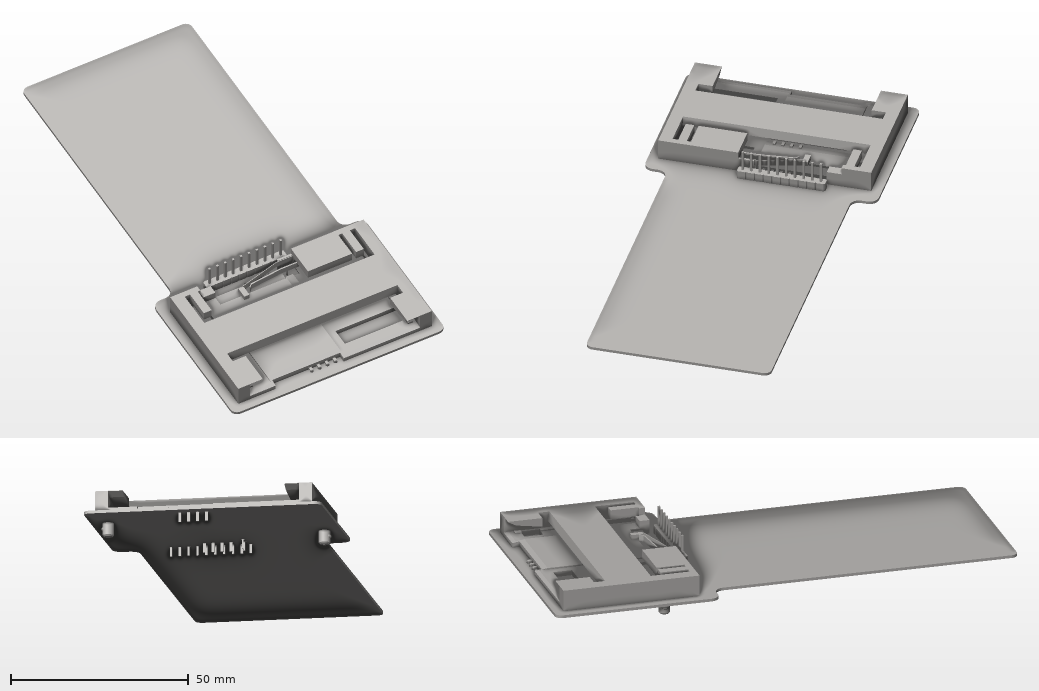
import cadquery as cq


board_length = 137.8
board_width = 68.0
board_thickness = 0.8
tail_width = 53.7
shoulder_x = 89.6
shoulder_radius = 2.8
end_radius = 2.0

pin_count = 10
pin_row_length = 25.4
header_x = 92.5
header_y = -5.6
header_height = 2.5
pin_size = 0.63
pin_top = 8.4
pin_tail = 3.5
pin_hole_diameter = 1.0
pitch = pin_row_length / pin_count
header_chamfer = 0.4
header_unit_length = 2.9

socket_back = 95.0
socket_front = 134.9
socket_width = 62.0
socket_height = 6.2
bay_back = 97.8
bay_width = 54.5
bay_floor = 1.5
bay_ceiling = 3.6

back_gap_x = 104.9
front_gap_x = 124.8
bridge_back = 107.6
bridge_front = 122.1
bridge_draft = 0.5
mouth_width = 46.3
mouth_knee_x = 132.5
mouth_knee_z = 4.8
mouth_lip = 0.1

recess_low_y = -22.3
recess_high_y = 7.7
recess_floor = 4.1

split_y = 3.2
back_window_end_y = -18.0
back_window_x = 97.0
back_step_x = 100.7
back_step_height = 1.2
front_window_x = 132.8
front_window_low_y = -19.0
front_window_high_y = 2.8

raised_height = 1.9
ramp_length = 2.5
back_ramp_x = 106.7
front_ramp_x = 131.2
front_raised_start = 110.2
front_raised_end_y = -19.7
ledge_y = 24.8
ledge_outer_y = 26.5
ledge_end_x = 132.3

back_pocket_end = 105.1
back_pocket_floor = 0.7
front_window_end = 130.4
floor_opening_y = 5.6

slit_start_x = 96.7
outer_slit_inner_y = 25.6
inner_slit_low_y = 21.9
inner_slit_high_y = 23.2

lead_count = 4
lead_width = 0.8
lead_thickness = 0.4
lead_height = 0.7
lead_bend = 0.35
back_lead_x = 95.5
front_lead_x = 134.1
lead_hole_diameter = 1.1
leads_center_y = header_y + pitch
contact_start = 107.3
contact_length = 1.7
contact_height = 2.2

switch_slot_back = 95.6
switch_slot_front = 99.9
switch_slot_floor = 0.3
switch_root_y = 8.3
blade_low = 2.2
blade_high = 4.0
fixed_blade_thickness = 0.2
moving_blade_thickness = 0.4
fixed_blade_x = 95.8
moving_blade_x = 98.5
blade_bend_y = 2.5
fixed_blade_tip = [(99.2, -9.9)]
moving_blade_tip = [(99.6, -7.6), (100.6, -8.5)]
switch_lead_y = 4.5
tab_back = 99.1
tab_front = 102.7
tab_low_y = -11.5
tab_high_y = -9.8

peg_diameter = 3.3
peg_depth = 4.7
peg_chamfer = 0.4
peg_offset_y = 29.1
bump_radius = 1.2
bump_offset = 0.7
bump_chamfer = 0.4
bump_top = -1.8
bump_height = 1.4
slit_peg_x = 104.7
plain_peg_x = 124.7
peg_slit_width = 0.2
peg_places = [(slit_peg_x, 1), (plain_peg_x, -1)]


def block(x0, x1, y0, y1, z0, z1):
    """Axis-aligned box between two opposite corners."""
    return cq.Workplane("XY").box(x1 - x0, y1 - y0, z1 - z0, centered=False).translate((x0, y0, z0))


def prism_along_y(points, y0, y1):
    """XZ outline extruded from y0 to y1."""
    return cq.Workplane("XZ", origin=(0, y1, 0)).polyline(points).close().extrude(y1 - y0)


pin_ys = [header_y + (i - (pin_count - 1) / 2) * pitch for i in range(pin_count)]
lead_ys = [leads_center_y + (i - (lead_count - 1) / 2) * pitch for i in range(lead_count)]
back_lead_center = back_lead_x + lead_thickness / 2
front_lead_center = front_lead_x - lead_thickness / 2


def make_board():
    tail = block(0, shoulder_x, -tail_width / 2, tail_width / 2, -board_thickness, 0)
    head = block(shoulder_x, board_length, -board_width / 2, board_width / 2, -board_thickness, 0)
    board = tail.union(head)
    for x, radius in [(0, end_radius), (shoulder_x, shoulder_radius), (board_length, end_radius)]:
        corners = cq.selectors.BoxSelector((x - 1.4, -board_width, -1.4), (x + 1.4, board_width, 1.4))
        board = board.edges("|Z").edges(corners).fillet(radius)

    pin_places = [(header_x, y) for y in pin_ys]
    lead_places = [(x, y) for x in (back_lead_center, front_lead_center) for y in lead_ys]
    switch_places = [(x, switch_lead_y) for x in (fixed_blade_x, moving_blade_x)]
    peg_centers = [(x, side * peg_offset_y) for x, side in peg_places]
    for places, diameter in [
        (pin_places, pin_hole_diameter),
        (lead_places + switch_places, lead_hole_diameter),
        (peg_centers, peg_diameter),
    ]:
        holes = cq.Workplane("XY").pushPoints(places).circle(diameter / 2).extrude(-board_thickness)
        board = board.cut(holes)
    return board


def make_header():
    """Row of eight-sided units that run into one another, each with a pin."""
    unit = (
        cq.Workplane("XY")
        .rect(pitch, header_unit_length)
        .extrude(header_height)
        .edges("|Z")
        .chamfer(header_chamfer)
    )
    pin = cq.Workplane("XY", origin=(0, 0, -pin_tail)).rect(pin_size, pin_size).extrude(pin_top + pin_tail)
    unit = unit.union(pin)
    header = unit.translate((header_x, pin_ys[0], 0))
    for y in pin_ys[1:]:
        header = header.union(unit.translate((header_x, y, 0)))
    return header


def cut_card_bay(body):
    half = bay_width / 2
    body = body.cut(block(bay_back, socket_front, -half, half, bay_floor, bay_ceiling))
    flare = [
        (front_gap_x, bay_ceiling),
        (mouth_knee_x, mouth_knee_z),
        (socket_front, socket_height - mouth_lip),
        (socket_front, bay_ceiling),
    ]
    body = body.cut(prism_along_y(flare, -half, half))
    sill_x = front_ramp_x + ramp_length
    ramp_slope = (raised_height - bay_floor) / ramp_length
    sill_drop = (socket_front - sill_x) * ramp_slope
    sill = [(sill_x, bay_floor), (socket_front, bay_floor), (socket_front, bay_floor - sill_drop)]
    return body.cut(prism_along_y(sill, -half, half))


def cut_roof(body):
    half = bay_width / 2
    back_gap = [
        (back_gap_x, bay_ceiling),
        (bridge_back, bay_ceiling),
        (bridge_back + bridge_draft, socket_height),
        (back_gap_x, socket_height),
    ]
    front_gap = [
        (front_gap_x, bay_ceiling),
        (bridge_front, bay_ceiling),
        (bridge_front - bridge_draft, socket_height),
        (front_gap_x, socket_height),
    ]
    body = body.cut(prism_along_y(back_gap, -half, half)).cut(prism_along_y(front_gap, -half, half))
    mouth_half = mouth_width / 2
    body = body.cut(block(front_gap_x, socket_front, -mouth_half, mouth_half, bay_floor, socket_height))
    body = body.cut(block(socket_back, back_gap_x, recess_low_y, recess_high_y, recess_floor, socket_height))
    body = body.cut(block(bay_back, back_gap_x, recess_low_y, recess_high_y, bay_floor, recess_floor))
    for low, high in [
        (outer_slit_inner_y, half),
        (inner_slit_low_y, inner_slit_high_y),
        (-inner_slit_high_y, -inner_slit_low_y),
        (-half, -outer_slit_inner_y),
    ]:
        body = body.cut(block(slit_start_x, back_gap_x, low, high, bay_floor, socket_height))
    return body


def add_card_floor(body):
    half = bay_width / 2
    back_raised = [
        (bay_back, bay_floor),
        (bay_back, raised_height),
        (back_ramp_x, raised_height),
        (back_ramp_x + ramp_length, bay_floor),
    ]
    front_raised = [
        (front_raised_start, bay_floor),
        (front_raised_start, raised_height),
        (front_ramp_x, raised_height),
        (front_ramp_x + ramp_length, bay_floor),
    ]
    body = body.union(prism_along_y(back_raised, -half, split_y))
    body = body.union(prism_along_y(back_raised, ledge_y, half))
    body = body.union(prism_along_y(front_raised, front_raised_end_y, split_y))
    for low, high in [(ledge_y, ledge_outer_y), (-ledge_outer_y, -ledge_y)]:
        body = body.union(block(front_raised_start, ledge_end_x, low, high, bay_floor, raised_height))
    return body


def cut_floor_openings(body):
    for x0, x1, floor in [
        (slit_start_x, back_pocket_end, back_pocket_floor),
        (front_gap_x, front_window_end, 0),
    ]:
        for low, high in [(floor_opening_y, ledge_outer_y), (-ledge_outer_y, recess_low_y)]:
            body = body.cut(block(x0, x1, low, high, floor, bay_ceiling))
    return body


def cut_wall_windows(body):
    low = back_window_end_y
    body = body.cut(block(socket_back, back_window_x, low, split_y, 0, recess_floor))
    body = body.cut(block(back_window_x, back_step_x, low, split_y, back_step_height, recess_floor))
    body = body.cut(
        block(front_window_x, socket_front, front_window_low_y, front_window_high_y, 0, bay_ceiling)
    )
    return body.cut(
        block(
            switch_slot_back,
            switch_slot_front,
            split_y,
            recess_high_y,
            switch_slot_floor,
            recess_floor,
        )
    )


def add_leads(body):
    for y in lead_ys:
        low = y - lead_width / 2
        high = y + lead_width / 2
        for outer_x, wall_x, inward, bend in [
            (back_lead_x, back_window_x, 1, "<X and >Z"),
            (front_lead_x, front_window_x, -1, ">X and >Z"),
        ]:
            inner_x = outer_x + inward * lead_thickness
            under = lead_height - lead_thickness
            outline = [
                (outer_x, -pin_tail),
                (outer_x, lead_height),
                (wall_x, lead_height),
                (wall_x, under),
                (inner_x, under),
                (inner_x, -pin_tail),
            ]
            lead = prism_along_y(outline, low, high)
            lead = lead.edges("|Y").edges(bend).fillet(lead_bend)
            body = body.union(lead)
        contact_end = contact_start + contact_length
        body = body.union(block(contact_start, contact_end, low, high, bay_floor, contact_height))
    return body


def blade(centers, thickness):
    """Upright strip that follows a line of centre points."""
    half = thickness / 2
    near = [(x - half, y) for x, y in centers]
    far = [(x + half, y) for x, y in reversed(centers)]
    outline = cq.Workplane("XY", origin=(0, 0, blade_low)).polyline(near + far).close()
    return outline.extrude(blade_high - blade_low)


def add_switch(body):
    for x, tip, thickness in [
        (fixed_blade_x, fixed_blade_tip, fixed_blade_thickness),
        (moving_blade_x, moving_blade_tip, moving_blade_thickness),
    ]:
        path = [(x, switch_root_y), (x, blade_bend_y), *tip]
        body = body.union(blade(path, thickness))
        x0 = x - thickness / 2
        x1 = x + thickness / 2
        y0 = switch_lead_y - moving_blade_thickness / 2
        y1 = switch_lead_y + moving_blade_thickness / 2
        body = body.union(block(x0, x1, y0, y1, -pin_tail, blade_high))
    return body.union(block(tab_back, tab_front, tab_low_y, tab_high_y, blade_low, bay_ceiling))


def make_peg():
    """Peg with its round locking bump on the +Y side."""
    radius = peg_diameter / 2
    peg = cq.Workplane("XY").circle(radius).extrude(-peg_depth).faces("<Z").chamfer(peg_chamfer)
    bump = cq.Workplane("XY", origin=(0, bump_offset, bump_top)).circle(bump_radius).extrude(-bump_height)
    bump = bump.faces("<Z or >Z").chamfer(bump_chamfer)
    return peg.union(bump)


def add_pegs(body):
    radius = peg_diameter / 2
    half_slit = peg_slit_width / 2
    slit = block(-half_slit, half_slit, -radius, 0, -peg_depth, -board_thickness)
    for x, side in peg_places:
        peg = make_peg()
        if x == slit_peg_x:
            peg = peg.cut(slit)
        if side < 0:
            peg = peg.mirror("XZ")
        body = body.union(peg.translate((x, side * peg_offset_y, 0)))
    return body


def make_socket():
    body = block(socket_back, socket_front, -socket_width / 2, socket_width / 2, 0, socket_height)
    body = cut_card_bay(body)
    body = cut_roof(body)
    body = add_card_floor(body)
    body = cut_floor_openings(body)
    body = cut_wall_windows(body)
    body = add_leads(body)
    body = add_switch(body)
    return add_pegs(body)


board = make_board()
header = make_header()
socket = make_socket()

result = cq.Compound.makeCompound([board.solids().val(), header.solids().val(), socket.solids().val()])